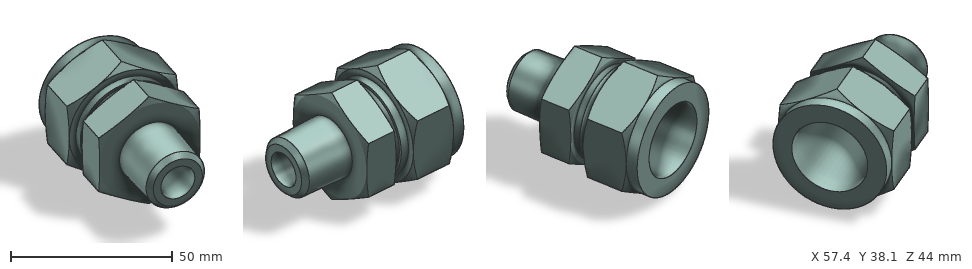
import cadquery as cq
import math

overall_length = 57.4
nut_hex_start = 4.2
nut_end = 20.65
wide_neck_end = 23.6
body_hex_start = 26.45
body_hex_end = 38.4
thread_taper_start = 39.25
thread_chamfer_length = 1.8
thread_taper_end = overall_length - thread_chamfer_length

nut_across_flats = 38.1
nut_chamfer_angle = 30.0
body_across_flats = 35.0
body_chamfer_angle = 15.0
wide_neck_diameter = 33.45
narrow_neck_diameter = 31.55

thread_base_diameter = 21.25
thread_small_diameter = 20.4
thread_tip_diameter = 17.1

tube_bore_diameter = 25.4
tube_bore_depth = 31.2
flow_bore_diameter = 11.8


def cylinder(start, end, diameter):
    """Round section on the X axis between two stations."""
    return cq.Workplane("YZ", origin=(start, 0, 0)).circle(diameter / 2).extrude(end - start)


def chamfered_hexagon(start, end, across_flats, chamfer_angle):
    """Hexagon with corners at +Z and -Z, coned off at both ends down to its flats."""
    flat_radius = across_flats / 2
    corner_radius = flat_radius / math.cos(math.radians(30))
    chamfer_run = (corner_radius - flat_radius) * math.tan(math.radians(chamfer_angle))
    hexagon = (
        cq.Workplane("YZ", origin=(start, 0, 0))
        .polygon(6, 2 * corner_radius)
        .extrude(end - start)
        .rotate((0, 0, 0), (1, 0, 0), 30)
    )
    envelope = (
        cq.Workplane("XY")
        .moveTo(start, 0)
        .lineTo(start, flat_radius)
        .lineTo(start + chamfer_run, corner_radius)
        .lineTo(end - chamfer_run, corner_radius)
        .lineTo(end, flat_radius)
        .lineTo(end, 0)
        .close()
        .revolve(360, (0, 0, 0), (1, 0, 0))
    )
    return hexagon.intersect(envelope)


def tapered_end():
    """Male end: short straight root, slow taper, then a steep lead-in chamfer."""
    return (
        cq.Workplane("XY")
        .moveTo(body_hex_end, 0)
        .lineTo(body_hex_end, thread_base_diameter / 2)
        .lineTo(thread_taper_start, thread_base_diameter / 2)
        .lineTo(thread_taper_end, thread_small_diameter / 2)
        .lineTo(overall_length, thread_tip_diameter / 2)
        .lineTo(overall_length, 0)
        .close()
        .revolve(360, (0, 0, 0), (1, 0, 0))
    )


nut = cylinder(0, nut_hex_start, nut_across_flats).union(
    chamfered_hexagon(nut_hex_start, nut_end, nut_across_flats, nut_chamfer_angle)
)

neck = cylinder(nut_end, wide_neck_end, wide_neck_diameter).union(
    cylinder(wide_neck_end, body_hex_start, narrow_neck_diameter)
)
body_hexagon = chamfered_hexagon(body_hex_start, body_hex_end, body_across_flats, body_chamfer_angle)
body = neck.union(body_hexagon).union(tapered_end())

tube_bore = cylinder(0, tube_bore_depth, tube_bore_diameter)
flow_bore = cylinder(0, overall_length, flow_bore_diameter)

result = nut.union(body).cut(tube_bore).cut(flow_bore)